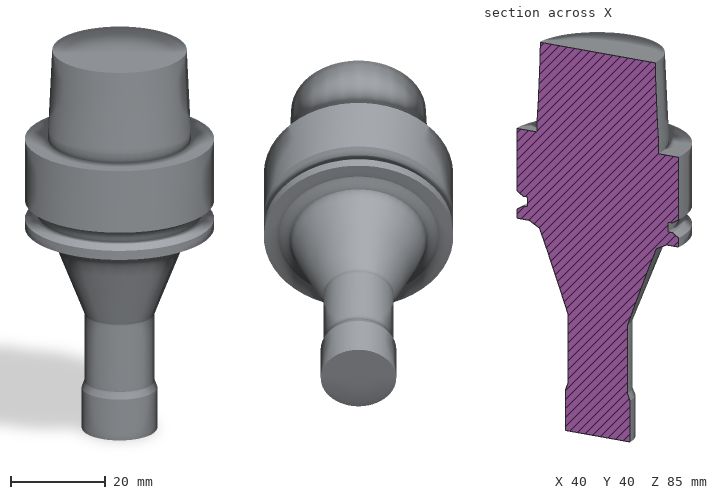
import cadquery as cq

tip_diameter = 16.0
neck_diameter = 14.8
cone_top_diameter = 28.9
flange_underside_diameter = 33.8
flange_diameter = 40.0
groove_diameter = 34.8
groove_mouth_chamfer = 1.0
groove_lip_diameter = 36.9
shank_base_diameter = 30.2
shank_top_diameter = 28.5

tip_height = 9.2
tip_bevel_height = 1.5
neck_height = 15.1
cone_height = 17.9
flare_height = 1.3
rim_height = 2.0
groove_height = 2.0
collar_height = 13.85
shank_base_height = 2.0
total_height = 85.0

tip_top = tip_height
neck_bottom = tip_top + tip_bevel_height
neck_top = neck_bottom + neck_height
cone_top = neck_top + cone_height
rim_bottom = cone_top + flare_height
rim_top = rim_bottom + rim_height
groove_bottom = rim_top + groove_mouth_chamfer
groove_top = groove_bottom + groove_height
collar_bottom = groove_top + groove_mouth_chamfer
collar_top = collar_bottom + collar_height
shank_base_top = collar_top + shank_base_height

outline = [
    (0, 0),
    (tip_diameter, 0),
    (tip_diameter, tip_top),
    (neck_diameter, neck_bottom),
    (neck_diameter, neck_top),
    (cone_top_diameter, cone_top),
    (flange_underside_diameter, rim_bottom),
    (flange_diameter, rim_bottom),
    (flange_diameter, rim_top),
    (groove_lip_diameter, groove_bottom),
    (groove_diameter, groove_bottom),
    (groove_diameter, groove_top),
    (groove_lip_diameter, groove_top),
    (flange_diameter, collar_bottom),
    (flange_diameter, collar_top),
    (shank_base_diameter, collar_top),
    (shank_base_diameter, shank_base_top),
    (shank_top_diameter, total_height),
    (0, total_height),
]

half_profile = [(diameter / 2, level) for diameter, level in outline]
result = (
    cq.Workplane("XZ")
    .polyline(half_profile)
    .close()
    .revolve(360, (0, 0, 0), (0, 1, 0))
)